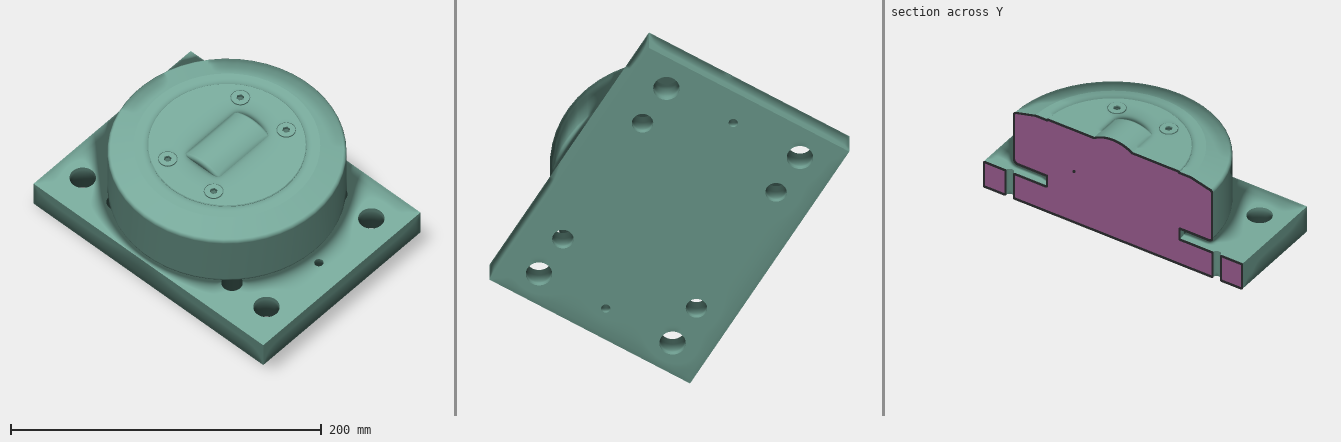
import cadquery as cq
import math

plate_length = 200.0
plate_width = 150.0
plate_thickness = 20.0
hole_x = 80.0
hole_y = 50.0
mount_hole_diameter = 17.0
pin_hole_diameter = 6.0
inner_hole_diameter = 13.8
inner_hole_offset = 50.0

neck_diameter = 103.0

roller_radius = 153.8 / 2
roller_bottom = 28.5
roller_top = 73.2
roller_edge_radius = 3.0
crown_radius = 60.0
crown_drop = 3.8
shoulder_height = roller_top - crown_drop
shoulder_inset = 2.2
shoulder_rounding_height = 2.8

cover_diameter = 102.5
cover_top = 74.0
cover_chamfer = 0.5

screw_circle_radius = 40.0
screw_angle = 60.0
recess_diameter = 12.8
recess_depth = 0.5
screw_head_diameter = 11.5
screw_rise = 0.5
socket_diameter = 5.2
socket_depth = 2.0

overall_height = 78.5
crest_width = 29.5
crest_length = 50.0
crest_edge_radius = 2.5


def mirrored(x, y):
    """Points in all four quadrants."""
    return [(sx * x, sy * y) for sx in (-1, 1) for sy in (-1, 1)]


def make_plate():
    plate = cq.Workplane("XY").box(plate_length, plate_width, plate_thickness, centered=(True, True, False))
    hole_groups = [
        (mirrored(hole_x, hole_y), mount_hole_diameter),
        (mirrored(inner_hole_offset, inner_hole_offset), inner_hole_diameter),
        ([(-hole_x, 0), (hole_x, 0)], pin_hole_diameter),
    ]
    for points, diameter in hole_groups:
        plate = plate.faces(">Z").workplane(origin=(0, 0, plate_thickness)).pushPoints(points).hole(diameter)
    return plate


def make_neck():
    neck_height = roller_bottom - plate_thickness
    return cylinder(neck_diameter, plate_thickness, neck_height)


def cylinder(diameter, bottom, height):
    return cq.Workplane("XY").workplane(offset=bottom).circle(diameter / 2).extrude(height)


def make_main_roller():
    """Solid of revolution with rounded edges and a conical crown."""
    lower_arc_offset = roller_edge_radius * (1 - math.sqrt(0.5))
    upper_arc_point = (
        roller_radius - shoulder_inset * (1 - math.sqrt(0.5)),
        shoulder_height - shoulder_rounding_height * (1 - math.sqrt(0.5)),
    )
    return (
        cq.Workplane("XZ")
        .moveTo(0, roller_bottom)
        .lineTo(roller_radius - roller_edge_radius, roller_bottom)
        .threePointArc(
            (roller_radius - lower_arc_offset, roller_bottom + lower_arc_offset),
            (roller_radius, roller_bottom + roller_edge_radius),
        )
        .lineTo(roller_radius, shoulder_height - shoulder_rounding_height)
        .threePointArc(upper_arc_point, (roller_radius - shoulder_inset, shoulder_height))
        .lineTo(crown_radius, roller_top)
        .lineTo(0, roller_top)
        .close()
        .revolve(360, (0, 0, 0), (0, 1, 0))
    )


def make_cover():
    return cylinder(cover_diameter, roller_top, cover_top - roller_top).faces(">Z").chamfer(cover_chamfer)


def make_side_roller():
    """Roller along Y, trimmed to the part above the main roller."""
    rise = overall_height - cover_top
    radius = ((crest_width / 2) ** 2 + rise**2) / (2 * rise)
    roller = (
        cq.Workplane("XZ", origin=(0, crest_length / 2, overall_height - radius))
        .circle(radius)
        .extrude(crest_length)
        .edges()
        .fillet(crest_edge_radius)
    )
    trim = cylinder(cover_diameter, roller_top, overall_height)
    return roller.intersect(trim)


def add_screws(body):
    angle = math.radians(screw_angle)
    points = mirrored(screw_circle_radius * math.cos(angle), screw_circle_radius * math.sin(angle))
    recess_floor = cover_top - recess_depth
    head_top = cover_top + screw_rise
    recesses = cq.Workplane("XY", origin=(0, 0, recess_floor)).pushPoints(points)
    body = body.cut(recesses.circle(recess_diameter / 2).extrude(recess_depth))
    heads = cq.Workplane("XY", origin=(0, 0, recess_floor)).pushPoints(points)
    body = body.union(heads.circle(screw_head_diameter / 2).extrude(head_top - recess_floor))
    sockets = cq.Workplane("XY", origin=(0, 0, head_top)).pushPoints(points)
    return body.cut(sockets.polygon(6, socket_diameter).extrude(-socket_depth))


body = make_plate().union(make_neck()).union(make_main_roller())
body = body.union(make_cover()).union(make_side_roller())
result = add_screws(body)